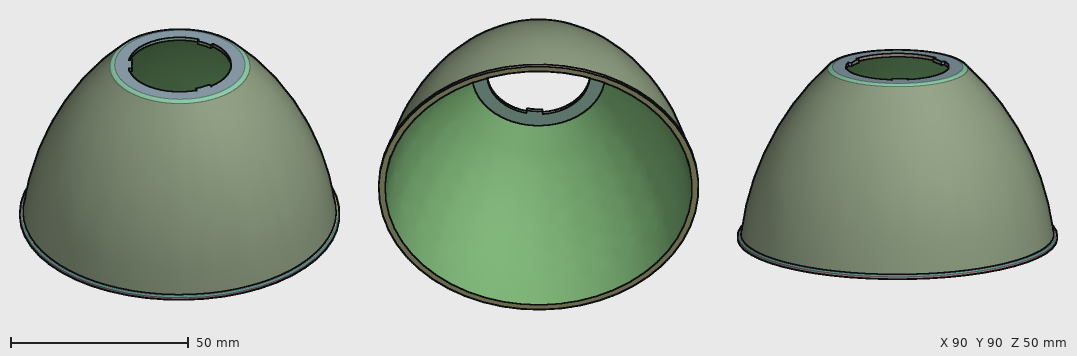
import cadquery as cq
import math

height = 50.0
flange_radius = 45.0
flange_thickness = 1.2

dome_base_radius = 44.2
dome_top_radius = 19.15
dome_arc_radius = 81.0
wall_thickness = 1.0

top_fillet = 2.0
flange_fillet = 0.4

bore_radius = 14.5
tab_inner_radius = 13.5
tab_count = 3
tab_span_angle = 18.4
first_tab_angle = -1.5


def dome_arc_center():
    """Centre (radius, z) of the arc running from the dome base to the dome top."""
    chord_r = dome_top_radius - dome_base_radius
    chord = math.hypot(chord_r, height)
    center_offset = math.sqrt(dome_arc_radius**2 - (chord / 2) ** 2)
    center_r = (dome_base_radius + dome_top_radius) / 2 - center_offset * height / chord
    center_z = height / 2 + center_offset * chord_r / chord
    return center_r, center_z


def dome_solid(arc_radius, top_z):
    """Solid dome from z = 0 to top_z, bounded by an arc about the common centre."""
    center_r, center_z = dome_arc_center()

    def arc_point(z):
        return center_r + math.sqrt(arc_radius**2 - (z - center_z) ** 2), z

    return (
        cq.Workplane("XZ")
        .moveTo(0, 0)
        .lineTo(*arc_point(0))
        .threePointArc(arc_point(top_z / 2), arc_point(top_z))
        .lineTo(0, top_z)
        .close()
        .revolve(360, (0, 0), (0, 1))
    )


def outer_body():
    """Filled dome standing on its flange, with the top and flange edges rounded."""
    flange = cq.Workplane("XY").circle(flange_radius).extrude(flange_thickness)
    body = dome_solid(dome_arc_radius, height).union(flange)
    body = body.faces(">Z").edges().fillet(top_fillet)
    corner = cq.selectors.BoxSelector(
        (-flange_radius, -flange_radius, flange_thickness / 2),
        (flange_radius, flange_radius, flange_thickness * 3 / 2),
    )
    flange_corner = body.edges(corner).edges(cq.selectors.RadiusNthSelector(0))
    return flange_corner.fillet(flange_fillet)


def tab(angle):
    """Ring sector between the bore and the tab tip, reaching slightly into the plate."""
    half_span = tab_span_angle / 2
    overlap = 0.5

    def polar(radius, offset):
        direction = math.radians(angle + offset)
        return radius * math.cos(direction), radius * math.sin(direction)

    root_radius = bore_radius + overlap
    return (
        cq.Workplane("XY")
        .workplane(offset=height - wall_thickness)
        .moveTo(*polar(tab_inner_radius, -half_span))
        .threePointArc(polar(tab_inner_radius, 0), polar(tab_inner_radius, half_span))
        .lineTo(*polar(root_radius, half_span))
        .threePointArc(polar(root_radius, 0), polar(root_radius, -half_span))
        .close()
        .extrude(wall_thickness)
    )


cavity = dome_solid(dome_arc_radius - wall_thickness, height - wall_thickness)
bore = cq.Workplane("XY").circle(bore_radius).extrude(height)

result = outer_body().cut(cavity).cut(bore)
for index in range(tab_count):
    result = result.union(tab(first_tab_angle + index * 360 / tab_count))